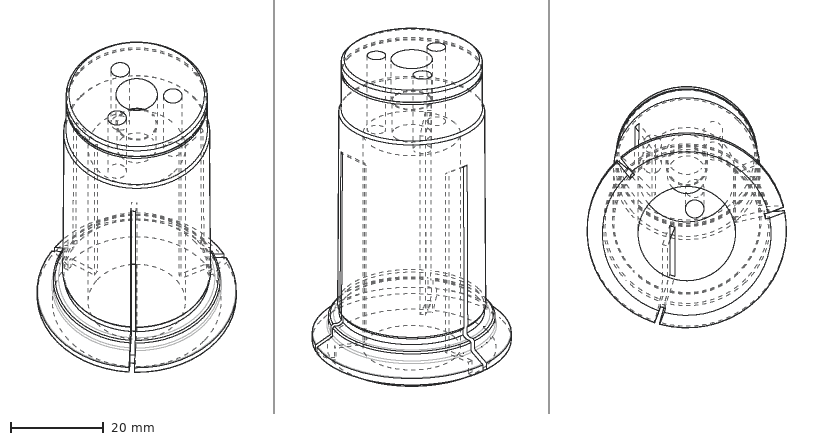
import cadquery as cq
import math

TOTAL_HEIGHT = 70.0
RIM_RADIUS = 21.5
FOOT_RADIUS = 18.2
RIM_BOTTOM = 2.05
RIM_TOP = 3.6
RIM_TOP_CHAMFER = 0.15

COLLAR_RADIUS = 18.0
COLLAR_TOP = 8.15
COLLAR_CHAMFER = 0.4
CONE_TOP_RADIUS = 18.3
CONE_TOP = 5.55
COLLAR_FILLET_TOP = 6.05

RELIEF_RADIUS = 15.72
RELIEF_FILLET_REACH = 1.15
RELIEF_FILLET_HEIGHT = 0.7
RELIEF_TOP = 10.25
BODY_BOTTOM_RADIUS = 16.0
BODY_BOTTOM = 10.75
BODY_TOP_RADIUS = 15.77
BODY_TOP = 57.3

HEAD_RADIUS = 15.25
HEAD_BOTTOM = 58.0
GROOVE_RADIUS = 15.0
GROOVE_BOTTOM = 66.8
GROOVE_FLOOR = 67.2
GROOVE_TOP = 67.4
TOP_CHAMFER = 0.65

BORE_RADIUS = 10.5
BORE_DEPTH = 52.0
CENTRE_HOLE_DIAMETER = 8.4
CENTRE_HOLE_MOUTH_DIAMETER = 8.92
CENTRE_HOLE_MOUTH_DEPTH = 10.0
SIDE_HOLE_DIAMETER = 4.0
SIDE_HOLE_CIRCLE_RADIUS = 7.8
SIDE_HOLE_ANGLES = (30, 150, 270)

SLOT_WIDTH = 1.15
SLOT_ANGLES = (60, 180, 300)
SLOT_FLOOR = 2.75
SLOT_FOOT_RADIUS = 17.25
SLOT_TOP = 49.6
SLOT_INNER_TOP = 46.1
CUT_MARGIN = 1.0


def turned_body():
    """Outside of the sleeve, revolved about Z."""
    profile = (
        cq.Workplane("XZ")
        .lineTo(FOOT_RADIUS, 0)
        .lineTo(RIM_RADIUS, RIM_BOTTOM)
        .lineTo(RIM_RADIUS, RIM_TOP)
        .lineTo(RIM_RADIUS - RIM_TOP_CHAMFER, RIM_TOP + RIM_TOP_CHAMFER)
        .lineTo(CONE_TOP_RADIUS, CONE_TOP)
        .tangentArcPoint((COLLAR_RADIUS, COLLAR_FILLET_TOP), relative=False)
        .lineTo(COLLAR_RADIUS, COLLAR_TOP - COLLAR_CHAMFER)
        .lineTo(COLLAR_RADIUS - COLLAR_CHAMFER, COLLAR_TOP)
        .lineTo(RELIEF_RADIUS + RELIEF_FILLET_REACH, COLLAR_TOP)
        .tangentArcPoint((RELIEF_RADIUS, COLLAR_TOP + RELIEF_FILLET_HEIGHT), relative=False)
        .lineTo(RELIEF_RADIUS, RELIEF_TOP)
        .lineTo(BODY_BOTTOM_RADIUS, BODY_BOTTOM)
        .lineTo(BODY_TOP_RADIUS, BODY_TOP)
        .lineTo(HEAD_RADIUS, HEAD_BOTTOM)
        .lineTo(HEAD_RADIUS, GROOVE_BOTTOM)
        .lineTo(GROOVE_RADIUS, GROOVE_FLOOR)
        .lineTo(HEAD_RADIUS, GROOVE_TOP)
        .lineTo(HEAD_RADIUS, TOTAL_HEIGHT - TOP_CHAMFER)
        .lineTo(HEAD_RADIUS - TOP_CHAMFER, TOTAL_HEIGHT)
        .lineTo(0, TOTAL_HEIGHT)
        .close()
    )
    return profile.revolve(360, (0, 0, 0), (0, 1, 0))


def holes():
    """Blind bore from below, with the holes through the end wall above it."""
    bore = cq.Workplane("XY").circle(BORE_RADIUS).extrude(BORE_DEPTH)
    centre_hole = cq.Workplane("XY").circle(CENTRE_HOLE_DIAMETER / 2).extrude(TOTAL_HEIGHT)
    mouth = (
        cq.Workplane("XY", origin=(0, 0, TOTAL_HEIGHT))
        .circle(CENTRE_HOLE_MOUTH_DIAMETER / 2)
        .extrude(-CENTRE_HOLE_MOUTH_DEPTH)
    )
    centres = [
        (
            SIDE_HOLE_CIRCLE_RADIUS * math.cos(math.radians(angle)),
            SIDE_HOLE_CIRCLE_RADIUS * math.sin(math.radians(angle)),
        )
        for angle in SIDE_HOLE_ANGLES
    ]
    side_holes = (
        cq.Workplane("XY").pushPoints(centres).circle(SIDE_HOLE_DIAMETER / 2).extrude(TOTAL_HEIGHT)
    )
    return bore.union(centre_hole).union(mouth).union(side_holes)


def slot(angle):
    """Radial slot with a sloped upper end; it stops short of the bore below the slot floor."""
    inner = BORE_RADIUS - CUT_MARGIN
    outer = RIM_RADIUS + CUT_MARGIN
    slope = (SLOT_TOP - SLOT_INNER_TOP) / (BODY_TOP_RADIUS - BORE_RADIUS)

    def top_at(radius):
        return SLOT_INNER_TOP + slope * (radius - BORE_RADIUS)

    blade = (
        cq.Workplane("XZ")
        .moveTo(inner, SLOT_FLOOR)
        .lineTo(SLOT_FOOT_RADIUS, SLOT_FLOOR)
        .lineTo(SLOT_FOOT_RADIUS, -CUT_MARGIN)
        .lineTo(outer, -CUT_MARGIN)
        .lineTo(outer, top_at(outer))
        .lineTo(inner, top_at(inner))
        .close()
        .extrude(SLOT_WIDTH / 2, both=True)
    )
    return blade.rotate((0, 0, 0), (0, 0, 1), angle)


result = turned_body().cut(holes())
for slot_angle in SLOT_ANGLES:
    result = result.cut(slot(slot_angle))